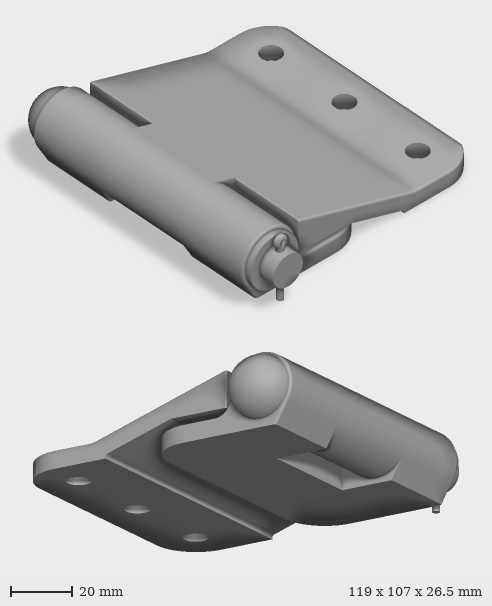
import cadquery as cq
import math


leaf_width = 100.0
plate_thickness = 6.4
barrel_radius = 12.0
axis_height = 13.8
corner_radius = 15.0
end_round = 4.0
rim_round = 1.0
upper_reach = 95.0
lower_reach = 45.0

middle_knuckle_width = 39.0
knuckle_clearance = 13.2

slope_angle = math.radians(17)
bend_radius = 10.0
bearing_length = 35.0
step_round = 1.0
underside_height = 9.0
notch_round = 0.5
screw_hole_diameter = 8.5

front_angle = math.radians(30)
knuckle_fillet = 6.1

pin_radius = 6.5
pin_tip_length = 9.0
head_radius = 11.0
head_height = 10.0
washer_radius = 10.6
washer_thickness = 2.5

wire_radius = 1.3
eye_radius = 2 * wire_radius
eye_top = 26.5
split_pin_offset = 5.2
split_hole_radius = 1.5
split_hole_offset = 5.0

half_width = leaf_width / 2
half_knuckle = middle_knuckle_width / 2
corner_x = half_width - corner_radius


def box_between(x_min, x_max, y_min, y_max, z_min, z_max):
    """Box given by its limits."""
    size = (x_max - x_min, y_max - y_min, z_max - z_min)
    return cq.Workplane("XY").box(*size, centered=False).translate((x_min, y_min, z_min))


def x_cylinder(radius, x_min, x_max):
    """Cylinder around the pin axis."""
    section = cq.Workplane("YZ", origin=(x_min, 0, 0)).center(0, axis_height)
    return section.circle(radius).extrude(x_max - x_min)


def barrel_point(angle):
    """Y and Z of a barrel point at an angle from +Y towards +Z."""
    return barrel_radius * math.cos(angle), axis_height + barrel_radius * math.sin(angle)


def extrude_profile(profile):
    """Extrude a YZ profile over the full leaf width."""
    return profile.close().extrude(half_width, both=True)


def fillet_near(body, radius, point):
    """Round the edge closest to a point, and every edge tangent to it."""
    return body.edges(cq.selectors.NearestToPointSelector(point)).fillet(radius)


def round_corners(leaf, reach):
    """Round the two upright corners at the free end."""
    for x in (-half_width, half_width):
        leaf = fillet_near(leaf, corner_radius, (x, reach, plate_thickness / 2))
    return leaf


def round_free_end(leaf, reach):
    """Round the upper edge of the free end along a straight line in X."""
    y_start = reach - end_round
    z_start = plate_thickness - end_round
    edge_block = box_between(-half_width, half_width, y_start, reach, z_start, plate_thickness)
    keep = (
        cq.Workplane("YZ", origin=(-half_width, 0, 0))
        .center(y_start, z_start)
        .circle(end_round)
        .extrude(leaf_width)
    )
    return leaf.cut(edge_block.cut(keep))


def make_upper_leaf():
    """Leaf that slopes up to the middle knuckle."""
    slope = math.tan(slope_angle)
    tangent_y, tangent_z = barrel_point(math.pi / 2 - slope_angle)
    bend_y = tangent_y + (tangent_z - plate_thickness) / slope
    slope_drop = plate_thickness / math.cos(slope_angle)
    step_y = upper_reach - bearing_length
    step_z = plate_thickness + (bend_y - step_y) * slope - slope_drop
    knee_y = step_y - (underside_height - step_z) / slope
    junction_y = math.sqrt(barrel_radius**2 - (axis_height - underside_height) ** 2)

    leaf = extrude_profile(
        cq.Workplane("YZ")
        .moveTo(upper_reach, 0)
        .lineTo(upper_reach, plate_thickness)
        .lineTo(bend_y, plate_thickness)
        .lineTo(tangent_y, tangent_z)
        .threePointArc(barrel_point(math.pi), (junction_y, underside_height))
        .lineTo(knee_y, underside_height)
        .lineTo(step_y, step_z)
        .lineTo(step_y, 0)
    )
    leaf = fillet_near(leaf, bend_radius, (0, bend_y, plate_thickness))
    leaf = fillet_near(leaf, step_round, (0, step_y, step_z))
    leaf = round_corners(leaf, upper_reach)

    notch_top = axis_height + 2 * barrel_radius
    for x_min, x_max in ((-half_width, -half_knuckle), (half_knuckle, half_width)):
        leaf = leaf.cut(box_between(x_min, x_max, -barrel_radius, knuckle_clearance, 0, notch_top))

    mid_slope_y = (bend_y + knuckle_clearance) / 2
    mid_slope_z = plate_thickness + (bend_y - mid_slope_y) * slope
    leaf = fillet_near(leaf, rim_round, (half_width, mid_slope_y, mid_slope_z))
    wall_top = plate_thickness + (bend_y - knuckle_clearance) * slope
    wall_middle = (wall_top + underside_height) / 2
    for side in (-1, 1):
        leaf = fillet_near(leaf, notch_round, (side * half_width, knuckle_clearance, wall_middle))

    leaf = round_free_end(leaf, upper_reach)

    hole_places = [(x, upper_reach - corner_radius) for x in (-corner_x, 0, corner_x)]
    holes = cq.Workplane("XY").pushPoints(hole_places).circle(screw_hole_diameter / 2)
    leaf = leaf.cut(holes.extrude(plate_thickness))
    return leaf.cut(x_cylinder(pin_radius, -half_width, half_width))


def make_lower_leaf():
    """Short flat leaf with the two outer knuckles."""
    front_y, front_z = barrel_point(math.pi + front_angle)
    toe_y = front_y + front_z * math.tan(front_angle)

    fillet_z = plate_thickness + knuckle_fillet
    centre_distance = barrel_radius + knuckle_fillet
    fillet_angle = math.asin((fillet_z - axis_height) / centre_distance)
    fillet_y = centre_distance * math.cos(fillet_angle)
    mid_angle = (math.pi + fillet_angle + 1.5 * math.pi) / 2
    fillet_middle = (
        fillet_y + knuckle_fillet * math.cos(mid_angle),
        fillet_z + knuckle_fillet * math.sin(mid_angle),
    )

    leaf = extrude_profile(
        cq.Workplane("YZ")
        .moveTo(lower_reach, 0)
        .lineTo(lower_reach, plate_thickness)
        .lineTo(fillet_y, plate_thickness)
        .threePointArc(fillet_middle, barrel_point(fillet_angle))
        .threePointArc(barrel_point(math.pi / 2), (front_y, front_z))
        .lineTo(toe_y, 0)
    )
    leaf = round_corners(leaf, lower_reach)
    leaf = fillet_near(leaf, rim_round, (half_width, *barrel_point(math.pi / 2)))
    leaf = round_free_end(leaf, lower_reach)

    gap_top = axis_height + barrel_radius
    leaf = leaf.cut(box_between(-half_knuckle, half_knuckle, -barrel_radius, knuckle_clearance, 0, gap_top))
    return leaf.cut(x_cylinder(pin_radius, -half_width, half_width))


def make_pin():
    """Hinge pin with a domed head and a cross hole near its tip."""
    shaft = x_cylinder(pin_radius, -half_width, half_width + pin_tip_length)
    sphere_radius = (head_radius**2 + head_height**2) / (2 * head_height)
    sphere_x = sphere_radius - half_width - head_height
    head = cq.Workplane("XY").sphere(sphere_radius).translate((sphere_x, 0, axis_height))
    head = head.intersect(x_cylinder(sphere_radius, -half_width - head_height, -half_width))
    cross_hole = (
        cq.Workplane("XY", origin=(half_width + split_hole_offset, 0, 0))
        .circle(split_hole_radius)
        .extrude(axis_height + barrel_radius)
    )
    return shaft.union(head).cut(cross_hole)


def make_washer():
    """Plain washer between the knuckle and the split pin."""
    end_x = half_width + washer_thickness
    disc = x_cylinder(washer_radius, half_width, end_x)
    return disc.cut(x_cylinder(pin_radius, half_width, end_x))


def half_round(origin, flat_y, apex_y):
    """Half-round wire section with its flat at one Y and its apex at another."""
    return (
        cq.Workplane("XY", origin=origin)
        .moveTo(-wire_radius, flat_y)
        .threePointArc((0, apex_y), (wire_radius, flat_y))
        .close()
    )


def make_split_pin():
    """Eye, two reverse-bent necks of the same radius, and the paired legs."""
    pin_x = half_width + split_pin_offset
    eye_z = eye_top - eye_radius
    neck_y = eye_radius + wire_radius
    neck_angle = math.acos(neck_y / (2 * eye_radius))
    neck_z = eye_z - 2 * eye_radius * math.sin(neck_angle)
    neck_degrees = math.degrees(neck_angle)

    eye = half_round((pin_x, 0, eye_z), wire_radius, eye_radius)
    eye = eye.revolve(180 + 2 * neck_degrees, (0, 0), (1, 0))
    eye = eye.rotate((pin_x, 0, eye_z), (pin_x + 1.2, 0, eye_z), -neck_degrees)

    neck = half_round((pin_x, neck_y, neck_z), -neck_y, -eye_radius)
    neck = neck.revolve(neck_degrees, (1.2, 0), (0, 0))

    legs = cq.Workplane("XY", origin=(pin_x, 0, 0)).circle(wire_radius).extrude(neck_z)
    return legs.union(neck).union(neck.mirror("XZ")).union(eye)


upper_leaf = make_upper_leaf()
lower_leaf = make_lower_leaf()
hinge_pin = make_pin()
washer = make_washer()
split_pin = make_split_pin()

result = cq.Compound.makeCompound(
    [upper_leaf.val(), lower_leaf.val(), hinge_pin.val(), washer.val(), split_pin.val()]
)